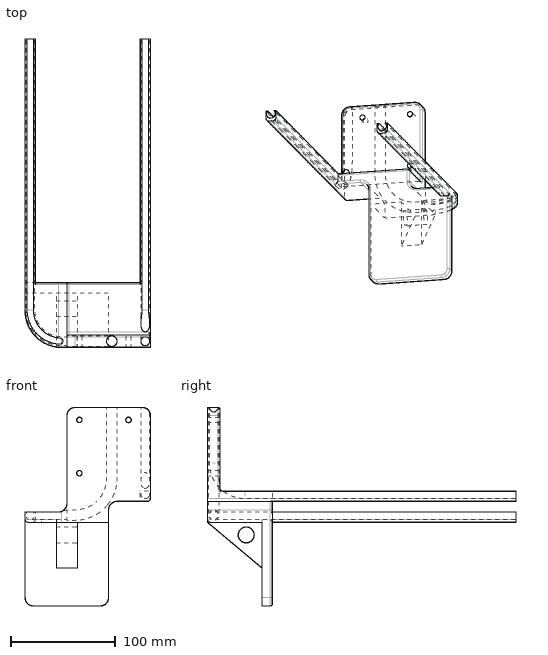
import cadquery as cq
import math


total_length = 295.0
bracket_depth = 62.0
plate_width = 80.0
plate_shift = 40.0
front_thickness = 12.0
back_thickness = 10.0
shelf_thickness = 10.0
lower_plate_height = 80.0
shelf_step = 20.0
total_height = 190.0

corner_radius = 8.0
back_edge_radius = 2.0
shelf_inner_radius = 3.0
plan_corner_radius = 35.0

rail_width = 10.0
rail_height = shelf_thickness
rail_edge_radius = 3.0

tube_radius = 4.25
tube_drop = 3.0
tube_bend_radius = 30.0
wide_tube_radius = 5.0
wide_bend_radius = 35.0
wide_tube_straight = 8.0

gusset_width = 20.0
gusset_angle = 40.0
gusset_hole_diameter = 15.0
gusset_hole_y = 37
gusset_hole_drop = 12.0

screw_hole_diameter = 5.0
screw_inset = 12.0
screw_pitch_x = 47.0
screw_pitch_z = 51.0

total_width = plate_width + plate_shift
low_shelf_top = lower_plate_height + shelf_thickness
high_shelf_bottom = lower_plate_height + shelf_step
high_shelf_top = high_shelf_bottom + shelf_thickness
back_plate_front = bracket_depth - back_thickness
channel_y = front_thickness / 2
left_tube_x = rail_width / 2
right_tube_x = total_width - rail_width / 2
left_tube_z = low_shelf_top - tube_drop
right_tube_z = high_shelf_top - tube_drop
gusset_left = (plate_width - gusset_width) / 2
selection_margin = 0.01


def block(x0, x1, y0, y1, z0, z1):
    """Box between two opposite corners."""
    return cq.Workplane("XY").box(x1 - x0, y1 - y0, z1 - z0, centered=False).translate((x0, y0, z0))


def edges_in(body, x0, x1, y0, y1, z0, z1):
    """Edges of the body whose centres lie inside a box."""
    selector = cq.selectors.BoxSelector(
        (x0 - selection_margin, y0 - selection_margin, z0 - selection_margin),
        (x1 + selection_margin, y1 + selection_margin, z1 + selection_margin),
    )
    return body.edges(selector)


def round_profile_corner(body, x, z, radius):
    """Round the edge along Y that passes through (x, z)."""
    return edges_in(body, x, x, 0, bracket_depth, z, z).edges("|Y").fillet(radius)


def stepped_bracket():
    """Front plate, stepped shelf and lower plate, with their rounded edges."""
    outline = [
        (0, 0),
        (plate_width, 0),
        (plate_width, high_shelf_bottom),
        (total_width, high_shelf_bottom),
        (total_width, total_height),
        (plate_shift, total_height),
        (plate_shift, low_shelf_top),
        (0, low_shelf_top),
    ]
    body = cq.Workplane("XZ").polyline(outline).close().extrude(-bracket_depth)
    rounded_corners = [
        (0, 0),
        (plate_width, 0),
        (plate_width, high_shelf_bottom),
        (total_width, total_height),
        (plate_shift, total_height),
        (plate_shift, low_shelf_top),
    ]
    for x, z in rounded_corners:
        body = round_profile_corner(body, x, z, corner_radius)
    body = round_profile_corner(body, total_width, high_shelf_bottom, rail_edge_radius)

    body = body.cut(block(0, total_width, front_thickness, bracket_depth, high_shelf_top, total_height))
    body = body.cut(block(0, plate_width, 0, back_plate_front, 0, lower_plate_height))

    low_corner = edges_in(body, 0, 0, 0, 0, lower_plate_height, low_shelf_top)
    body = low_corner.fillet(plan_corner_radius)
    inner_corner = edges_in(
        body, 0, total_width, front_thickness, front_thickness, high_shelf_top, high_shelf_top
    )
    body = inner_corner.fillet(shelf_inner_radius)

    plate_top = edges_in(
        body, plate_shift, total_width, front_thickness, front_thickness, total_height, total_height
    )
    shelf_back = edges_in(body, 0, total_width, bracket_depth, bracket_depth, 0, total_height)
    shelf_side = edges_in(
        body, plate_shift, plate_shift, front_thickness, bracket_depth, high_shelf_top, high_shelf_top
    )
    return plate_top.add(shelf_back).add(shelf_side).fillet(back_edge_radius)


def shelf_underside_waste():
    """Material outside the rounded lower edge of the low shelf, up to the gusset."""
    side = plate_width
    plate = block(0, side, 0, side, lower_plate_height, low_shelf_top)
    plate = edges_in(plate, 0, 0, 0, 0, lower_plate_height, low_shelf_top).fillet(plan_corner_radius)
    plate = plate.faces("<Z").edges("<X").fillet(rail_edge_radius)
    return block(0, gusset_left, 0, back_plate_front, lower_plate_height, low_shelf_top).cut(plate)


def rail(x, z_top, y_start):
    """Straight rail with rounded lower edges, from y_start to the far end."""
    bar = block(x, x + rail_width, y_start, total_length, z_top - rail_height, z_top)
    return bar.faces("<Z").edges("|Y").fillet(rail_edge_radius)


def gusset():
    """Triangular rib between the low shelf and the lower plate, with a cross hole."""
    drop = back_plate_front * math.tan(math.radians(gusset_angle))
    triangle = [
        (0, lower_plate_height),
        (back_plate_front, lower_plate_height),
        (back_plate_front, lower_plate_height - drop),
    ]
    rib = cq.Workplane("YZ").polyline(triangle).close().extrude(gusset_width)
    hole = (
        cq.Workplane("YZ")
        .center(gusset_hole_y, lower_plate_height - gusset_hole_drop)
        .circle(gusset_hole_diameter / 2)
        .extrude(gusset_width)
    )
    return rib.cut(hole).translate((gusset_left, 0, 0))


def bent_tube(start, bend_start, bend_end, end, radius):
    """Tube along a straight, a tangent quarter bend and a second straight."""
    first = cq.Vector(*bend_start) - cq.Vector(*start)
    path = cq.Wire.assembleEdges(
        [
            cq.Edge.makeLine(cq.Vector(*start), cq.Vector(*bend_start)),
            cq.Edge.makeTangentArc(cq.Vector(*bend_start), first, cq.Vector(*bend_end)),
            cq.Edge.makeLine(cq.Vector(*bend_end), cq.Vector(*end)),
        ]
    )
    section = cq.Workplane(cq.Plane(origin=start, normal=first.toTuple())).circle(radius)
    return section.sweep(cq.Workplane(path))


def left_groove():
    """Groove of the left rail, bending along the shelf corner into the step."""
    return bent_tube(
        (left_tube_x, total_length, left_tube_z),
        (left_tube_x, channel_y + tube_bend_radius, left_tube_z),
        (left_tube_x + tube_bend_radius, channel_y, left_tube_z),
        (plate_shift, channel_y, left_tube_z),
        tube_radius,
    )


def left_riser():
    """Wider channel from the left groove, bending up to the top of the front plate."""
    bend_x = plate_shift + wide_tube_straight
    riser_x = bend_x + wide_bend_radius
    return bent_tube(
        (plate_shift, channel_y, left_tube_z),
        (bend_x, channel_y, left_tube_z),
        (riser_x, channel_y, left_tube_z + wide_bend_radius),
        (riser_x, channel_y, total_height),
        wide_tube_radius,
    )


def right_groove():
    """Groove of the right rail, bending up into the front plate."""
    return bent_tube(
        (right_tube_x, total_length, right_tube_z),
        (right_tube_x, channel_y + tube_bend_radius, right_tube_z),
        (right_tube_x, channel_y, right_tube_z + tube_bend_radius),
        (right_tube_x, channel_y, total_height),
        tube_radius,
    )


def screw_holes():
    """Three screw holes through the front plate."""
    left = plate_shift + screw_inset
    top = total_height - screw_inset
    centres = [(left, top), (left + screw_pitch_x, top), (left, top - screw_pitch_z)]
    return (
        cq.Workplane("XZ")
        .pushPoints(centres)
        .circle(screw_hole_diameter / 2)
        .extrude(-front_thickness)
    )


result = stepped_bracket().cut(shelf_underside_waste())
result = result.union(rail(0, low_shelf_top, plan_corner_radius))
result = result.union(rail(total_width - rail_width, high_shelf_top, front_thickness))
result = result.union(gusset())
for cutter in (left_groove(), left_riser(), right_groove(), screw_holes()):
    result = result.cut(cutter)